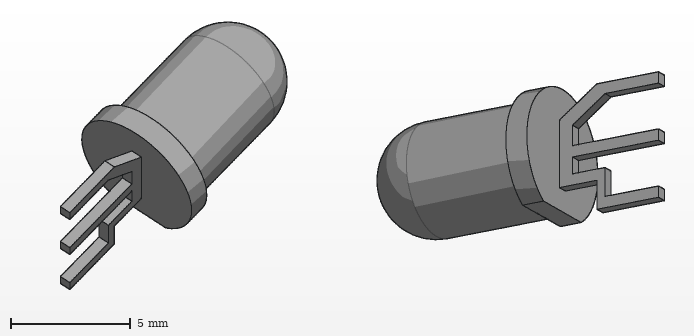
import cadquery as cq
import math


body_radius = 2.5
body_length = 5.1
flange_radius = 2.95
flange_thickness = 1.02
flat_z = -body_radius

lead_size = 0.508
lead_pitch = 2.54
lead_length = 4.82
half_lead = lead_size / 2
outer_edge = lead_pitch + half_lead
inner_edge = lead_pitch - half_lead

bar_depth = 0.64
bar_half_height = 1.5
step_arm_top = -1.0
slope_inner_z = 1.16

near_bend = 1.82
far_bend = 2.22


def make_lens():
    """Cylindrical body with a hemispherical dome, revolved about Y."""
    dome_start = flange_thickness + body_length
    dome_tip = dome_start + body_radius
    dome_mid = body_radius * math.cos(math.pi / 4)
    return (
        cq.Workplane("XY")
        .moveTo(0, 0)
        .lineTo(body_radius, 0)
        .lineTo(body_radius, dome_start)
        .threePointArc((dome_mid, dome_start + dome_mid), (0, dome_tip))
        .close()
        .revolve(360, (0, 0, 0), (0, 1, 0))
    )


def make_flange():
    """Round flange with one flat facing -Z."""
    disc = cq.Workplane("XZ").circle(flange_radius).extrude(-flange_thickness)
    flat_cutter = cq.Workplane("XY").box(
        2 * flange_radius,
        2 * flange_thickness,
        flange_radius,
        centered=(True, False, False),
    ).translate((0, -flange_thickness / 2, flat_z - flange_radius))
    return disc.cut(flat_cutter)


def make_leads():
    """Flat lead frame: sloped upper lead, straight middle lead, stepped lower lead."""
    outline = [
        (0, bar_half_height),
        (-near_bend, outer_edge),
        (-lead_length, outer_edge),
        (-lead_length, inner_edge),
        (-far_bend, inner_edge),
        (-bar_depth, slope_inner_z),
        (-bar_depth, half_lead),
        (-lead_length, half_lead),
        (-lead_length, -half_lead),
        (-bar_depth, -half_lead),
        (-bar_depth, step_arm_top),
        (-far_bend, step_arm_top),
        (-far_bend, -inner_edge),
        (-lead_length, -inner_edge),
        (-lead_length, -outer_edge),
        (-near_bend, -outer_edge),
        (-near_bend, -bar_half_height),
        (0, -bar_half_height),
    ]
    return cq.Workplane("YZ").polyline(outline).close().extrude(half_lead, both=True)


result = make_lens().union(make_flange()).union(make_leads())